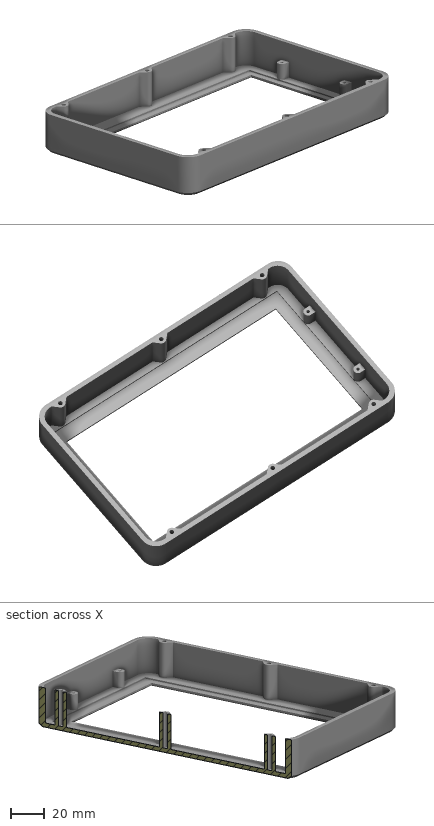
import cadquery as cq
import math

width = 120.0
length = 184.8
height = 25.0
wall = 3.0
corner_radius = 10.0
inner_corner_radius = 8.0
bottom_chamfer = 2.0
floor_thickness = 3.0

recess_depth = 1.0
recess_left = -48.2
recess_right = 52.5
recess_half_length = 83.3
window_half_width = 43.5
window_bottom = -75.7
window_top = 79.5
window_chamfer = 1.0

boss_radius = 3.0
boss_hole_diameter = 2.8
boss_x = 55.8
boss_spacing = 74.8

post_radius = 2.8
post_hole_diameter = 2.0
post_height = 10.0
post_x = 25.0
post_y = 86.1

inner_half_width = width / 2 - wall
inner_half_length = length / 2 - wall
mid_wall = wall / 2


def rounded_block(size_x, size_y, size_z, radius):
    block = cq.Workplane("XY").box(size_x, size_y, size_z, centered=(True, True, False))
    return block.edges("|Z").fillet(radius)


def window_cutter(left, right, bottom, top, base_z):
    """Rectangular cutter reaching from base_z to the top of the part."""
    return (
        cq.Workplane("XY", origin=((left + right) / 2, (bottom + top) / 2, base_z))
        .rect(right - left, top - bottom)
        .extrude(height - base_z)
    )


def side_boss(side, y):
    """Full-height boss with a round nose and 45 degree flanks, rooted in a long wall."""
    tangent = boss_radius * math.sqrt(0.5)
    root_x = width / 2 - mid_wall
    root_half_width = boss_radius * math.sqrt(2) + root_x - boss_x
    return (
        cq.Workplane("XY", origin=(0, 0, floor_thickness))
        .moveTo(side * root_x, y - root_half_width)
        .lineTo(side * (boss_x - tangent), y - tangent)
        .threePointArc((side * (boss_x - boss_radius), y), (side * (boss_x - tangent), y + tangent))
        .lineTo(side * root_x, y + root_half_width)
        .close()
        .extrude(height - floor_thickness)
    )


def end_post(x, end):
    """Post with a round nose whose straight flanks run into an end wall."""
    root_y = length / 2 - mid_wall
    return (
        cq.Workplane("XY", origin=(0, 0, floor_thickness))
        .moveTo(x - post_radius, end * root_y)
        .lineTo(x - post_radius, end * post_y)
        .threePointArc((x, end * (post_y - post_radius)), (x + post_radius, end * post_y))
        .lineTo(x + post_radius, end * root_y)
        .close()
        .extrude(post_height)
    )


def blind_holes(points, diameter, top_z):
    """Screw holes from top_z down to the floor."""
    return (
        cq.Workplane("XY", origin=(0, 0, floor_thickness))
        .pushPoints(points)
        .circle(diameter / 2)
        .extrude(top_z - floor_thickness)
    )


shell = rounded_block(width, length, height, corner_radius).faces("<Z").chamfer(bottom_chamfer)
cavity = rounded_block(2 * inner_half_width, 2 * inner_half_length, height, inner_corner_radius)
result = shell.cut(cavity.translate((0, 0, floor_thickness)))

boss_points = [(side * boss_x, row * boss_spacing) for side in (-1, 1) for row in (-1, 0, 1)]
post_points = [(side * post_x, end * post_y) for side in (-1, 1) for end in (-1, 1)]
for x, y in boss_points:
    result = result.union(side_boss(math.copysign(1, x), y))
for x, y in post_points:
    result = result.union(end_post(x, math.copysign(1, y)))
result = result.cut(blind_holes(boss_points, boss_hole_diameter, height))
result = result.cut(blind_holes(post_points, post_hole_diameter, floor_thickness + post_height))

recess = window_cutter(
    recess_left, recess_right, -recess_half_length, recess_half_length, floor_thickness - recess_depth
)
window = window_cutter(-window_half_width, window_half_width, window_bottom, window_top, 0)
window_flare = (
    cq.Workplane("XY", origin=(0, (window_bottom + window_top) / 2, 0))
    .rect(2 * (window_half_width + window_chamfer), window_top - window_bottom + 2 * window_chamfer)
    .workplane(offset=window_chamfer)
    .rect(2 * window_half_width, window_top - window_bottom)
    .loft(ruled=True)
)
result = result.cut(recess).cut(window).cut(window_flare)